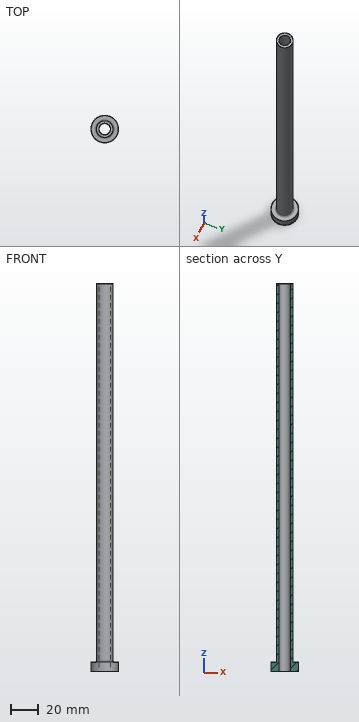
import cadquery as cq

total_length = 282.0
head_diameter = 20.0
head_height = 7.0
shaft_diameter = 12.0
bore_diameter = 8.2
fillet_radius = 0.6

head_radius = head_diameter / 2
shaft_radius = shaft_diameter / 2
bore_radius = bore_diameter / 2
fillet_top = head_height + fillet_radius
fillet_outer_radius = shaft_radius + fillet_radius
fillet_mid_offset = fillet_radius * (1 - 0.5 ** 0.5)

half_section = (
    cq.Workplane("XZ")
    .moveTo(bore_radius, 0)
    .lineTo(head_radius, 0)
    .lineTo(head_radius, head_height)
    .lineTo(fillet_outer_radius, head_height)
    .threePointArc(
        (shaft_radius + fillet_mid_offset, head_height + fillet_mid_offset),
        (shaft_radius, fillet_top),
    )
    .lineTo(shaft_radius, total_length)
    .lineTo(bore_radius, total_length)
    .close()
)

result = half_section.revolve(360, (0, 0, 0), (0, 1, 0))